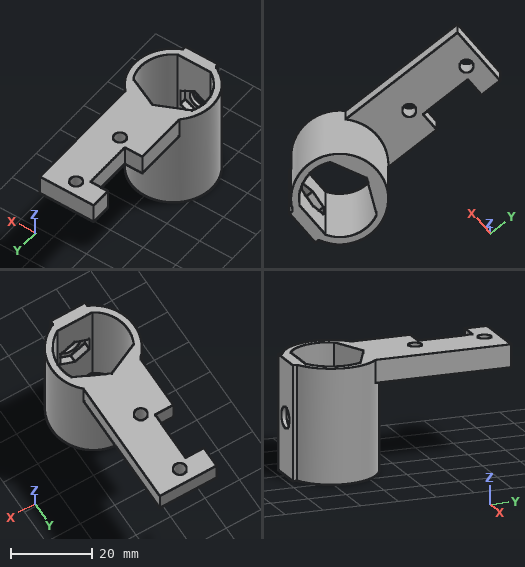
import cadquery as cq
import math

sleeve_height = 30.0
outer_radius = 12.0
bore_radius = 10.0
bore_flat = 8.65
bore_shoulder_half = 9.0
pad_half_width = 5.05
screw_hole_diameter = 5.5
screw_hole_depth = 1.3
nut_across_flats = 8.4

arm_width = 16.55
arm_thickness = 6.0
overall_length = 56.65
arm_end = overall_length - outer_radius
notch_depth = 5.3
notch_length = 14.3
notch_to_end = 6.0
arm_hole_diameter = 3.4
arm_hole_to_end = 3.95
arm_hole_spacing = 18.35


def make_sleeve_body():
    """Round sleeve with a square-edged pad along its front."""
    tube = cq.Workplane("XY").circle(outer_radius).extrude(sleeve_height)
    pad = cq.Workplane("XY").box(
        2 * pad_half_width, outer_radius, sleeve_height, centered=(True, False, False)
    ).translate((0, -outer_radius, 0))
    return tube.union(pad)


def make_arm():
    """Plate with a side notch and two vertical holes."""
    half_width = arm_width / 2
    notch_far = arm_end - notch_to_end
    notch_near = notch_far - notch_length
    notch_floor = notch_depth - half_width
    outline = [
        (-half_width, 0),
        (half_width, 0),
        (half_width, arm_end),
        (-half_width, arm_end),
        (-half_width, notch_far),
        (notch_floor, notch_far),
        (notch_floor, notch_near),
        (-half_width, notch_near),
    ]
    far_hole = arm_end - arm_hole_to_end
    plane = cq.Workplane("XY").workplane(offset=sleeve_height - arm_thickness)
    holes = (
        plane.pushPoints([(0, far_hole), (0, far_hole - arm_hole_spacing)])
        .circle(arm_hole_diameter / 2)
        .extrude(arm_thickness)
    )
    return plane.polyline(outline).close().extrude(arm_thickness).cut(holes)


def make_bore():
    """Round bore narrowed by a front flat and a two-faceted rear wall."""
    shoulder_y = math.sqrt(bore_radius**2 - bore_shoulder_half**2)
    flat_half = math.sqrt(bore_radius**2 - bore_flat**2)
    return (
        cq.Workplane("XY")
        .moveTo(-flat_half, -bore_flat)
        .lineTo(flat_half, -bore_flat)
        .threePointArc((bore_radius, 0), (bore_shoulder_half, shoulder_y))
        .lineTo(0, bore_flat)
        .lineTo(-bore_shoulder_half, shoulder_y)
        .threePointArc((-bore_radius, 0), (-flat_half, -bore_flat))
        .close()
        .extrude(sleeve_height)
    )


def make_screw_hole():
    """Round hole through the pad, widening to a hexagonal nut pocket open to the bore."""
    nut_across_corners = nut_across_flats / math.cos(math.radians(30))
    pad_face = cq.Workplane("XZ", origin=(0, -outer_radius, sleeve_height / 2))
    round_hole = pad_face.circle(screw_hole_diameter / 2).extrude(-screw_hole_depth)
    nut_pocket = (
        pad_face.workplane(offset=-screw_hole_depth)
        .transformed(rotate=(0, 0, 90))
        .polygon(6, nut_across_corners)
        .extrude(screw_hole_depth + bore_flat - outer_radius)
    )
    return round_hole.union(nut_pocket)


result = make_sleeve_body().union(make_arm()).cut(make_bore()).cut(make_screw_hole())